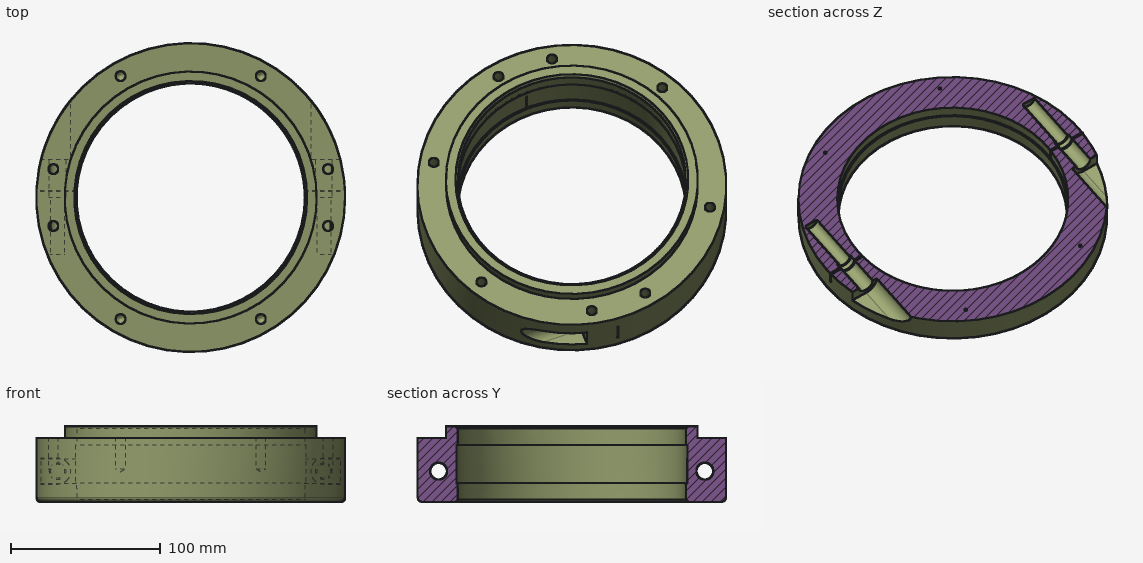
import cadquery as cq
import math


height = 50.8
outer_radius = 206.375 / 2
body_height = 42.86
rim_radius = 168.28 / 2
bottom_fillet = 3.175

bore_radius = 76.2
bore_chamfer = 1.5875
land_height = 12.7
relief_depth = 0.8

bolt_circle_radius = 187.33 / 2
bolt_hole_radius = 6.53 / 2
bolt_hole_depth = 20.64
bolt_angles_from_x = (11.7, 60)
drill_point_angle = 118

screw_x = 88.9
screw_z = 20.64
screw_clearance_radius = 11.11 / 2
screw_tap_radius = 9.35 / 2
screw_tap_depth = 38.1
head_pocket_radius = 17.46 / 2
head_seat_y = 25.4

tab_length = 3.97
tab_recess_depth = 4.76
tab_height = 16.2


def ring_blank():
    """Flanged ring with a chamfered bore, relieved between its two end lands."""
    relief_radius = bore_radius + relief_depth
    mouth_radius = bore_radius + bore_chamfer
    upper_land_z = height - land_height
    profile = (
        cq.Workplane("XZ")
        .moveTo(mouth_radius, 0)
        .lineTo(outer_radius, 0)
        .lineTo(outer_radius, body_height)
        .lineTo(rim_radius, body_height)
        .lineTo(rim_radius, height)
        .lineTo(mouth_radius, height)
        .lineTo(bore_radius, height - bore_chamfer)
        .lineTo(bore_radius, upper_land_z)
        .lineTo(relief_radius, upper_land_z)
        .lineTo(relief_radius, land_height)
        .lineTo(bore_radius, land_height)
        .lineTo(bore_radius, bore_chamfer)
        .close()
    )
    ring = profile.revolve(360, (0, 0, 0), (0, 1, 0))
    outer_bottom_edge = cq.selectors.RadiusNthSelector(-1)
    return ring.faces("<Z").edges(outer_bottom_edge).fillet(bottom_fillet)


def bolt_hole(angle):
    """Drilled hole with a conical bottom, at the given angle on the bolt circle."""
    point_length = bolt_hole_radius / math.tan(math.radians(drill_point_angle / 2))
    floor_z = body_height - bolt_hole_depth
    drill = (
        cq.Workplane("XZ")
        .moveTo(0, body_height)
        .lineTo(bolt_hole_radius, body_height)
        .lineTo(bolt_hole_radius, floor_z)
        .lineTo(0, floor_z - point_length)
        .close()
        .revolve(360, (0, 0, 0), (0, 1, 0))
    )
    return drill.translate((bolt_circle_radius, 0, 0)).rotate((0, 0, 0), (0, 0, 1), angle)


def cylinder_along_y(radius, x, start_y, end_y):
    """Cylinder at the cross screw height, running from start_y to end_y."""
    start = cq.Vector(x, start_y, screw_z)
    cylinder = cq.Solid.makeCylinder(radius, end_y - start_y, start, cq.Vector(0, 1, 0))
    return cq.Workplane(obj=cylinder)


def screw_cut(side):
    """Tapped hole, clearance hole and open-sided head pocket; side is -1 or 1 along X."""
    x = side * screw_x
    tapped = cylinder_along_y(screw_tap_radius, x, -screw_tap_depth, 0)
    clearance = cylinder_along_y(screw_clearance_radius, x, 0, head_seat_y)
    pocket = cylinder_along_y(head_pocket_radius, x, head_seat_y, outer_radius)
    pocket_length = outer_radius - head_seat_y
    opening_width = outer_radius - screw_x
    opening = cq.Workplane("XY").box(opening_width, pocket_length, 2 * head_pocket_radius)
    opening_x = side * (screw_x + opening_width / 2)
    opening = opening.translate((opening_x, head_seat_y + pocket_length / 2, screw_z))
    return tapped.union(clearance).union(pocket.union(opening))


def tab_slits():
    """Narrow gap past the tab ends, passing radially through both sides of the ring."""
    gap = tab_recess_depth - tab_length
    slit = cq.Workplane("XY").box(2 * outer_radius, gap, tab_height)
    return slit.translate((0, tab_length + gap / 2, screw_z))


result = ring_blank()
for bolt_angle in bolt_angles_from_x:
    for angle in (bolt_angle, 180 - bolt_angle, 180 + bolt_angle, -bolt_angle):
        result = result.cut(bolt_hole(angle))
for side in (-1, 1):
    result = result.cut(screw_cut(side))
result = result.cut(tab_slits())